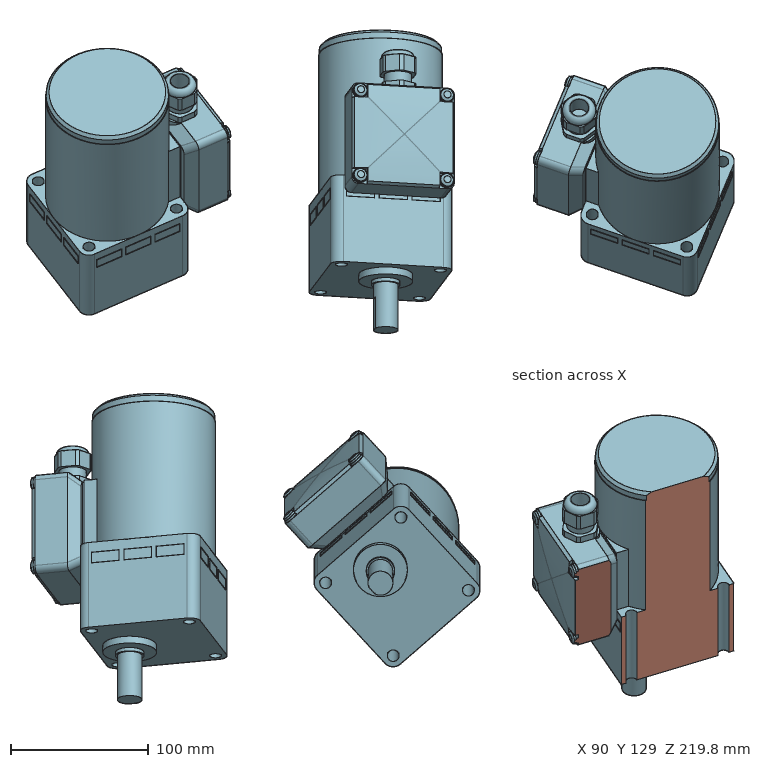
import cadquery as cq
import math


gearbox_side = 90.0
gearbox_height = 65.5
gearbox_corner_radius = 8.0
mount_hole_pitch = 73.5
mount_hole_diameter = 8.5

label_width = 21.0
label_height = 8.1
label_pitch = 24.5
label_drop = 7.7
label_depth = 0.5
labels_per_side = 3

shaft_offset = 18.0
hub_diameter = 39.2
hub_length = 5.3
collar_diameter = 20.7
collar_length = 2.6
shaft_diameter = 18.0
shaft_reach = 42.0
flat_length = 23.5
flat_depth = 0.7

motor_diameter = gearbox_side
motor_length = 105.5
cap_diameter = 89.0
cap_height = 6.8
cap_bevel_width = 2.2
cap_bevel_height = 2.2

pad_width = 56.3
pad_height = 55.0
foot_width = 55.5
foot_depth = 1.0
box_side = 76.1
box_corner_radius = 4.8
box_center_z = gearbox_height + 22.0
box_back_y = gearbox_side / 2 + foot_depth
box_taper_depth = 8.8
box_taper_inset = 6.2
box_wall_depth = 24.5
lid_bevel_depth = 2.6
lid_bevel_inset = 1.5
lid_crown_rise = 2.1

screw_inset = 6.0
screw_notch_side = 11.2
screw_seat_radius = 5.3
screw_seat_height = 1.5
screw_head_radius = 4.8
screw_head_height = 1.5
screw_bevel_height = 1.0
screw_bevel_top_radius = 2.6

gland_y = 61.0
gland_base_radius = 14.0
gland_base_depth = 6.5
nut_across_flats = 24.6
nut_corner_diameter = 26.8
lower_nut_height = 5.5
neck_diameter = 20.0
neck_height = 7.7
upper_nut_height = 12.3
dome_radius = 12.0
dome_height = 4.6
bore_diameter = 13.6

motor_top = gearbox_height + motor_length
box_taper_end_y = box_back_y + box_taper_depth
lid_y = box_taper_end_y + box_wall_depth
crown_y = lid_y + lid_bevel_depth
box_top = box_center_z + box_side / 2


def cylinder(diameter, height, bottom, y=0):
    """Upright cylinder on the plane X = 0."""
    return cq.Workplane("XY", origin=(0, y, bottom)).circle(diameter / 2).extrude(height)


def box_plane(y):
    """Workplane facing +Y, centred on the terminal box; its local Y runs along Z."""
    return cq.Workplane(cq.Plane(origin=(0, y, box_center_z), xDir=(-1, 0, 0), normal=(0, 1, 0)))


def rounded_square(side, corner_radius):
    return cq.Sketch().rect(side, side).vertices().fillet(corner_radius)


def label_recesses():
    """Rows of shallow rectangular recesses, one row on each side of the gearbox."""
    label_z = gearbox_height - label_drop - label_height / 2
    row = (
        cq.Workplane("XZ", origin=(0, -gearbox_side / 2 + label_depth, label_z))
        .rarray(label_pitch, 2.2, labels_per_side, 1)
        .rect(label_width, label_height)
        .extrude(label_depth)
    )
    recesses = row
    for angle in (90, 180, 270):
        recesses = recesses.add(row.rotate((0, 0, 0), (0, 0, 1), angle))
    return recesses.combine()


def output_shaft():
    """Hub, collar and shaft with a flat facing +X at its free end."""
    shaft = cylinder(shaft_diameter, shaft_reach, -shaft_reach, shaft_offset)
    flat = (
        cq.Workplane("XY", origin=(shaft_diameter - flat_depth, shaft_offset, -shaft_reach))
        .rect(shaft_diameter, shaft_diameter)
        .extrude(flat_length)
    )
    hub = cylinder(hub_diameter, hub_length, -hub_length, shaft_offset)
    collar_end = -hub_length - collar_length
    collar = cylinder(collar_diameter, collar_length, collar_end, shaft_offset)
    return shaft.cut(flat).union(collar).union(hub)


def gearbox_housing():
    """Rounded square block with a mounting hole through each corner."""
    block = (
        cq.Workplane("XY")
        .placeSketch(rounded_square(gearbox_side, gearbox_corner_radius))
        .extrude(gearbox_height)
    )
    mount_holes = (
        cq.Workplane("XY")
        .rarray(mount_hole_pitch, mount_hole_pitch, 2, 2)
        .circle(mount_hole_diameter / 2)
        .extrude(gearbox_height)
    )
    return block.cut(mount_holes)


def motor_barrel():
    """Cylindrical barrel with a slightly smaller, bevelled end cap."""
    cap_radius = cap_diameter / 2
    top = motor_top + cap_height
    return (
        cq.Workplane("YZ")
        .moveTo(0, gearbox_height)
        .lineTo(-motor_diameter / 2, gearbox_height)
        .lineTo(-motor_diameter / 2, motor_top)
        .lineTo(-cap_radius, motor_top)
        .lineTo(-cap_radius, top - cap_bevel_height)
        .lineTo(cap_bevel_width - cap_radius, top)
        .lineTo(0, top)
        .close()
        .revolve(360, (0, 0, 0), (0, 1, 0))
    )


def mounting_pad():
    """Block on the motor barrel, flush with the +Y side of the gearbox."""
    return (
        cq.Workplane("XY", origin=(0, gearbox_side / 4, gearbox_height))
        .rect(pad_width, gearbox_side / 2)
        .extrude(pad_height)
    )


def make_drive():
    gearbox = gearbox_housing().cut(label_recesses()).union(output_shaft())
    return gearbox.union(motor_barrel()).union(mounting_pad())


def tapered_square(y, depth, start_side, end_side):
    """Square that changes its side evenly from y to y + depth."""
    return (
        box_plane(y)
        .rect(start_side, start_side)
        .workplane(offset=depth)
        .rect(end_side, end_side)
        .loft(ruled=True)
    )


def lid_crown(side):
    """Lid top arched in both directions: two arched bars at right angles, intersected."""
    arched_bar = (
        cq.Workplane("XY", origin=(0, crown_y, box_center_z))
        .moveTo(-side / 2, 0)
        .threePointArc((0, lid_crown_rise), (side / 2, 0))
        .close()
        .extrude(side / 2, both=True)
    )
    crossing_bar = arched_bar.rotate((0, 0, box_center_z), (0, 1, box_center_z), 90)
    return arched_bar.intersect(crossing_bar)


def lid_screw():
    """Stepped, bevelled screw head on the lid's lower face, at the centre of the box."""
    head_y = lid_y + screw_seat_height
    seat = box_plane(lid_y).circle(screw_seat_radius).extrude(screw_seat_height)
    head = box_plane(head_y).circle(screw_head_radius).extrude(screw_head_height)
    bevel = (
        box_plane(head_y + screw_head_height)
        .circle(screw_head_radius)
        .workplane(offset=screw_bevel_height)
        .circle(screw_bevel_top_radius)
        .loft()
    )
    return seat.union(head).union(bevel)


def box_shell():
    """Tapered back, straight walls and an arched lid with a screw in a notch at each corner."""
    back_side = box_side - 2 * box_taper_inset
    lid_top_side = box_side - 2 * lid_bevel_inset
    back_outline = rounded_square(back_side, box_corner_radius)
    wall_outline = rounded_square(box_side, box_corner_radius)
    taper_end = wall_outline.moved(cq.Location(cq.Vector(0, 0, box_taper_depth)))
    taper = box_plane(box_back_y).placeSketch(back_outline, taper_end).loft(ruled=True)
    walls = box_plane(box_taper_end_y).placeSketch(wall_outline).extrude(box_wall_depth)
    foot = box_plane(box_back_y).rect(foot_width, back_side).extrude(-foot_depth)
    lid = tapered_square(lid_y, lid_bevel_depth, box_side, lid_top_side).union(lid_crown(lid_top_side))
    notch_pitch = box_side - screw_notch_side
    notches = (
        box_plane(lid_y)
        .rarray(notch_pitch, notch_pitch, 2, 2)
        .rect(screw_notch_side, screw_notch_side)
        .extrude(lid_bevel_depth + lid_crown_rise)
    )
    shell = taper.union(walls).union(foot).union(lid.cut(notches))
    screw_reach = box_side / 2 - screw_inset
    for x in (-screw_reach, screw_reach):
        for z in (-screw_reach, screw_reach):
            shell = shell.union(lid_screw().translate((x, 0, z)))
    return shell


def gland_nut(bottom, height):
    """Hexagon with flats facing +X and -X, its corners turned down to a cylinder."""
    half_side_angle = math.pi / 6
    nut = cq.Workplane("XY", origin=(0, gland_y, bottom))
    nut = nut.transformed(rotate=(0, 0, math.degrees(half_side_angle)))
    hexagon = nut.polygon(6, nut_across_flats / math.cos(half_side_angle)).extrude(height)
    return hexagon.intersect(cylinder(nut_corner_diameter, height, bottom, gland_y))


def cable_gland():
    neck_bottom = box_top + lower_nut_height
    upper_nut_bottom = neck_bottom + neck_height
    dome_bottom = upper_nut_bottom + upper_nut_height
    base = cylinder(2 * gland_base_radius, gland_base_depth, box_top - gland_base_depth, gland_y)
    neck = cylinder(neck_diameter, neck_height, neck_bottom, gland_y)
    rounded_dome = (
        cq.Workplane("XZ", origin=(0, gland_y, dome_bottom))
        .lineTo(dome_radius, 0)
        .radiusArc((dome_radius - dome_height, dome_height), -dome_height)
        .lineTo(0, dome_height)
        .close()
        .revolve(360, (0, 0, 0), (0, 1, 0))
    )
    bore_depth = upper_nut_height + dome_height
    bore = cylinder(bore_diameter, bore_depth, upper_nut_bottom, gland_y)
    lower_nut = gland_nut(box_top, lower_nut_height)
    upper_nut = gland_nut(upper_nut_bottom, upper_nut_height)
    return base.union(lower_nut).union(neck).union(upper_nut).union(rounded_dome).cut(bore)


def make_terminal_box():
    return box_shell().union(cable_gland())


drive = make_drive()
terminal_box = make_terminal_box()

result = cq.Compound.makeCompound([drive.val(), terminal_box.val()])